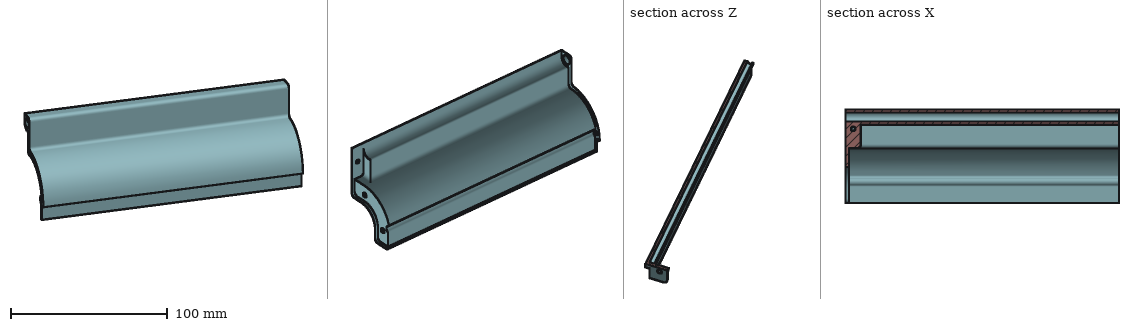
import cadquery as cq
import math

length = 175.0
height = 60.0

axis_x = 10.0
axis_z = 10.0
shell_outer_radius = 28.0
shell_inner_radius = 25.0
shell_underside = axis_z + shell_inner_radius

web_outer_x = 10.0
web_thickness = 3.0
web_inner_x = web_outer_x - web_thickness
root_fillet = 2.5
corner_radius = 2.5
rail_bore_diameter = 6.4
rail_radius = 5.0
rail_x = web_outer_x - rail_radius
rail_z = height - rail_radius
rail_edge_fillet = 2.5
rail_blend_radius = 1.0

boss_x = 34.0
boss_z = 13.5
boss_radius = 2.5
boss_hole_diameter = 3.2
boss_blend_radius = 1.5
lip_inner_x = 33.0
lip_outer_x = 35.0

plate_thickness = 2.5
plate_inner_radius = 13.0
plate_corner_fillet = 2.5
plate_hole_diameter = 3.2
plate_hole_radius = 18.0

block_length = 10.0
block_corner_fillet = 2.5
side_hole_diameter = 2.6
side_hole_z = 47.5
side_hole_depth = web_inner_x


def arc_point(center_x, center_z, radius, angle):
    """Point on a circle in the XZ plane; angle in degrees from +X."""
    turn = math.radians(angle)
    return (center_x + radius * math.cos(turn), center_z + radius * math.sin(turn))


def extrude_y(profile, start, end):
    """Extrude a closed XZ profile from Y = start to Y = end."""
    return profile.extrude(start - end).translate((0, start, 0))


def xz_plane():
    """Workplane for profiles across the part; positive extrusion runs toward -Y."""
    return cq.Workplane("XZ")


def cylinder_y(x, z, diameter, start, end):
    """Cylinder along Y between start and end."""
    return extrude_y(xz_plane().center(x, z).circle(diameter / 2), start, end)


def add_outer_edge(profile):
    """Continue from the top left corner around the outside to the lip's lower outer corner."""
    fillet_x = web_outer_x + root_fillet
    reach = shell_outer_radius + root_fillet
    fillet_z = axis_z + math.sqrt(reach**2 - (fillet_x - axis_x) ** 2)
    tangent_angle = math.degrees(math.atan2(fillet_z - axis_z, fillet_x - axis_x))
    return (
        profile.lineTo(web_outer_x - rail_edge_fillet, height)
        .threePointArc(
            arc_point(web_outer_x - rail_edge_fillet, height - rail_edge_fillet, rail_edge_fillet, 45),
            (web_outer_x, height - rail_edge_fillet),
        )
        .lineTo(web_outer_x, fillet_z)
        .threePointArc(
            arc_point(fillet_x, fillet_z, root_fillet, 180 + tangent_angle / 2),
            arc_point(fillet_x, fillet_z, root_fillet, 180 + tangent_angle),
        )
        .threePointArc(
            arc_point(axis_x, axis_z, shell_outer_radius, tangent_angle / 2),
            (axis_x + shell_outer_radius, axis_z),
        )
        .lineTo(lip_outer_x, axis_z)
        .lineTo(lip_outer_x, 0)
    )


def add_blended_boss(profile):
    """Continue from the lip's lower inner corner, over the screw boss, to the shell's inner face."""
    reach = boss_radius + boss_blend_radius
    low_x = lip_inner_x - boss_blend_radius
    low_z = boss_z - math.sqrt(reach**2 - (boss_x - low_x) ** 2)
    low_angle = math.degrees(math.atan2(boss_z - low_z, boss_x - low_x))

    inside = shell_inner_radius - boss_blend_radius
    boss_distance = math.hypot(boss_x - axis_x, boss_z - axis_z)
    boss_angle = math.degrees(math.atan2(boss_z - axis_z, boss_x - axis_x))
    swing_cosine = (inside**2 + boss_distance**2 - reach**2) / (2 * inside * boss_distance)
    shell_end_angle = boss_angle + math.degrees(math.acos(swing_cosine))
    high_x, high_z = arc_point(axis_x, axis_z, inside, shell_end_angle)
    high_angle = math.degrees(math.atan2(boss_z - high_z, boss_x - high_x))

    return (
        profile.lineTo(lip_inner_x, 0)
        .lineTo(lip_inner_x, low_z)
        .threePointArc(
            arc_point(low_x, low_z, boss_blend_radius, low_angle / 2),
            arc_point(low_x, low_z, boss_blend_radius, low_angle),
        )
        .threePointArc(
            (boss_x - boss_radius, boss_z),
            arc_point(boss_x, boss_z, boss_radius, high_angle + 180),
        )
        .threePointArc(
            arc_point(high_x, high_z, boss_blend_radius, (high_angle + shell_end_angle) / 2),
            arc_point(high_x, high_z, boss_blend_radius, shell_end_angle),
        )
        .threePointArc(
            arc_point(axis_x, axis_z, shell_inner_radius, (90 + shell_end_angle) / 2),
            (axis_x, shell_underside),
        )
    )


def make_rail_section():
    """Constant section: tube rail, web, quarter-round shell, screw boss and lip."""
    blend_x = web_inner_x - rail_blend_radius
    reach = rail_radius + rail_blend_radius
    blend_z = rail_z - math.sqrt(reach**2 - (blend_x - rail_x) ** 2)
    blend_angle = math.degrees(math.atan2(rail_z - blend_z, rail_x - blend_x))

    corner_x = web_inner_x + corner_radius
    corner_z = shell_underside + corner_radius

    profile = add_outer_edge(xz_plane().moveTo(0, height))
    profile = add_blended_boss(profile)
    profile = (
        profile.lineTo(corner_x, shell_underside)
        .threePointArc(
            arc_point(corner_x, corner_z, corner_radius, 225),
            (web_inner_x, corner_z),
        )
        .lineTo(web_inner_x, blend_z)
        .threePointArc(
            arc_point(blend_x, blend_z, rail_blend_radius, blend_angle / 2),
            arc_point(blend_x, blend_z, rail_blend_radius, blend_angle),
        )
        .threePointArc(arc_point(rail_x, rail_z, rail_radius, 225), (0, rail_z))
        .close()
    )
    return extrude_y(profile, 0, length)


def make_end_plate():
    """Plate across the +Y end, cut back to an arc concentric with the shell."""
    plate_low_z = axis_z + plate_inner_radius
    plate_low_x = axis_x + plate_inner_radius
    profile = add_outer_edge(xz_plane().moveTo(0, height))
    profile = (
        profile.lineTo(plate_low_x, 0)
        .lineTo(plate_low_x, axis_z)
        .threePointArc(
            arc_point(axis_x, axis_z, plate_inner_radius, 45),
            (axis_x, plate_low_z),
        )
        .lineTo(0, plate_low_z)
        .close()
    )
    plate = extrude_y(profile, length - plate_thickness, length)
    for corner_x, corner_z in ((0, plate_low_z), (plate_low_x, 0)):
        corner = cq.selectors.NearestToPointSelector((corner_x, length - plate_thickness / 2, corner_z))
        plate = plate.edges("|Y").edges(corner).fillet(plate_corner_fillet)
    return plate


def make_end_block():
    """Block filling the web recess at the end plate, rounded along its lower front edge."""
    block = cq.Workplane("XY").box(
        web_outer_x, block_length, rail_z - shell_underside, centered=False
    )
    block = block.translate((0, length - block_length, shell_underside))
    return block.edges("|X and <Y and <Z").fillet(block_corner_fillet)


def cut_holes(body):
    """Cut the rail bore, the boss hole, the plate holes and the blind side hole."""
    plate_start = length - plate_thickness
    body = body.cut(cylinder_y(rail_x, rail_z, rail_bore_diameter, 0, length))
    body = body.cut(cylinder_y(boss_x, boss_z, boss_hole_diameter, 0, plate_start))
    for angle in (0, 90):
        x, z = arc_point(axis_x, axis_z, plate_hole_radius, angle)
        body = body.cut(cylinder_y(x, z, plate_hole_diameter, plate_start, length))
    side_hole = (
        cq.Workplane("YZ")
        .center(length - block_length / 2, side_hole_z)
        .circle(side_hole_diameter / 2)
        .extrude(side_hole_depth)
    )
    return body.cut(side_hole)


body = make_rail_section().union(make_end_plate()).union(make_end_block())
result = cut_holes(body)